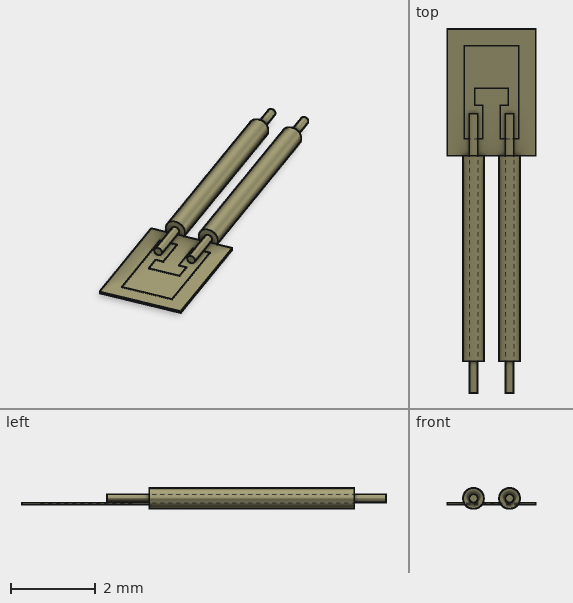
import cadquery as cq


total_length = 8.6

carrier_width = 2.1
carrier_length = 3.0
carrier_thickness = 0.05

foil_width = 1.3
foil_length = 2.2
foil_thickness = carrier_thickness / 2
foil_bottom_y = (carrier_length - foil_length) / 2
foil_top_y = foil_bottom_y + foil_length

foil_head_length = 1.0
window_width = 0.8
window_length = 0.4
neck_width = 0.4
window_top_y = foil_top_y - foil_head_length
window_bottom_y = window_top_y - window_length

wire_diameter = 0.2
sleeve_diameter = 0.5
wire_overlap = 1.0
wire_tail = 0.75
sleeve_length = total_length - carrier_length - wire_tail
wire_length = wire_overlap + sleeve_length + wire_tail
lead_offset = (foil_width + neck_width) / 4

carrier_top_z = -wire_diameter / 2
foil_base_z = carrier_top_z - foil_thickness


def make_foil():
    """Foil plate with two legs around a T-shaped opening."""
    half_foil = foil_width / 2
    half_window = window_width / 2
    half_neck = neck_width / 2
    return (
        cq.Workplane("XY", origin=(0, 0, foil_base_z))
        .moveTo(-half_foil, foil_bottom_y)
        .lineTo(-half_foil, foil_top_y)
        .lineTo(half_foil, foil_top_y)
        .lineTo(half_foil, foil_bottom_y)
        .lineTo(half_neck, foil_bottom_y)
        .lineTo(half_neck, window_bottom_y)
        .lineTo(half_window, window_bottom_y)
        .lineTo(half_window, window_top_y)
        .lineTo(-half_window, window_top_y)
        .lineTo(-half_window, window_bottom_y)
        .lineTo(-half_neck, window_bottom_y)
        .lineTo(-half_neck, foil_bottom_y)
        .close()
        .extrude(foil_thickness)
    )


def make_carrier(foil):
    """Rectangular sheet with a recess matching the foil."""
    sheet = (
        cq.Workplane("XY", origin=(0, carrier_length / 2, carrier_top_z))
        .rect(carrier_width, carrier_length)
        .extrude(-carrier_thickness)
    )
    return sheet.cut(foil)


def lead_workplane(x, y):
    """Plane across a lead at (x, y), with its normal along -Y."""
    return cq.Workplane("XZ", origin=(x, y, 0))


def make_wire(x):
    """Round wire from above the foil pad to the free end."""
    return lead_workplane(x, wire_overlap).circle(wire_diameter / 2).extrude(wire_length)


def make_sleeve(x):
    """Insulating tube around the wire, starting at the carrier edge."""
    return (
        lead_workplane(x, 0)
        .circle(sleeve_diameter / 2)
        .circle(wire_diameter / 2)
        .extrude(sleeve_length)
    )


foil = make_foil()
carrier = make_carrier(foil)

leads = []
for x in (-lead_offset, lead_offset):
    leads.append(make_wire(x).val())
    leads.append(make_sleeve(x).val())

result = cq.Compound.makeCompound([carrier.val(), foil.val(), *leads])